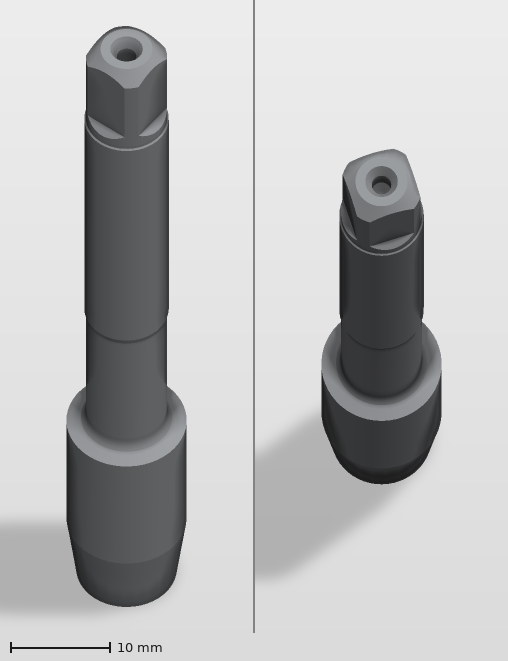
import cadquery as cq
import math

TOTAL_LENGTH = 82.0
LEAD_TOP = 8.0
CUTTER_TOP = 23.1
RIM_TOP = 23.4
CONE_TOP = 23.95
NECK_BOTTOM = 25.1
NECK_TOP = 40.4
SHANK_BOTTOM = 41.1
SHANK_TOP = 71.2

CUTTER_DIAMETER = 12.1
TIP_DIAMETER = 10.2
CONE_TOP_DIAMETER = 9.2
NECK_DIAMETER = 8.2
SHANK_DIAMETER = 8.5
DRIVE_DIAMETER = 8.2
END_FACE_DIAMETER = 5.25

SHANK_CHAMFER_HEIGHT = 0.2
END_CHAMFER_HEIGHT = 1.3

SQUARE_WIDTH = 6.7
FLAT_BOTTOM = 73.0

CENTER_DIAMETER = 2.0
CENTER_MOUTH_DIAMETER = 3.3
CENTER_DEPTH = 3.3
COUNTERSINK_ANGLE = 60.0
DRILL_POINT_ANGLE = 118.0


def revolve_profile(profile):
    """Turn a closed (radius, height) profile around the Z axis."""
    return profile.close().revolve(360, (0, 0, 0), (0, 1, 0))


def make_cutting_head():
    profile = (
        cq.Workplane("XZ")
        .lineTo(TIP_DIAMETER / 2, 0)
        .lineTo(CUTTER_DIAMETER / 2, LEAD_TOP)
        .lineTo(CUTTER_DIAMETER / 2, CUTTER_TOP)
        .lineTo(0, CUTTER_TOP)
    )
    return revolve_profile(profile)


def make_turned_shank():
    rim_radius = CUTTER_DIAMETER / 2
    neck_radius = NECK_DIAMETER / 2
    shank_radius = SHANK_DIAMETER / 2
    drive_radius = DRIVE_DIAMETER / 2
    profile = (
        cq.Workplane("XZ")
        .moveTo(0, TOTAL_LENGTH)
        .lineTo(END_FACE_DIAMETER / 2, TOTAL_LENGTH)
        .lineTo(drive_radius, TOTAL_LENGTH - END_CHAMFER_HEIGHT)
        .lineTo(drive_radius, SHANK_TOP)
        .lineTo(shank_radius, SHANK_TOP - SHANK_CHAMFER_HEIGHT)
        .lineTo(shank_radius, SHANK_BOTTOM)
        .lineTo(neck_radius, NECK_TOP)
        .lineTo(neck_radius, NECK_BOTTOM)
        .tangentArcPoint((CONE_TOP_DIAMETER / 2, CONE_TOP), relative=False)
        .lineTo(rim_radius, RIM_TOP)
        .lineTo(rim_radius, CUTTER_TOP)
        .lineTo(0, CUTTER_TOP)
    )
    return revolve_profile(profile)


def make_flat_cutter():
    """Tool that removes the material outside one flat and its ramp, on the +X side."""
    flat_distance = SQUARE_WIDTH / 2
    outer_distance = DRIVE_DIAMETER
    ramp_drop = outer_distance - flat_distance
    return (
        cq.Workplane("XZ")
        .moveTo(flat_distance, FLAT_BOTTOM)
        .lineTo(outer_distance, FLAT_BOTTOM - ramp_drop)
        .lineTo(outer_distance, TOTAL_LENGTH)
        .lineTo(flat_distance, TOTAL_LENGTH)
        .close()
        .extrude(DRIVE_DIAMETER, both=True)
    )


def make_center_hole():
    """Countersunk blind hole with a conical bottom."""
    hole_radius = CENTER_DIAMETER / 2
    mouth_radius = CENTER_MOUTH_DIAMETER / 2
    countersink_depth = (mouth_radius - hole_radius) / math.tan(math.radians(COUNTERSINK_ANGLE / 2))
    point_depth = hole_radius / math.tan(math.radians(DRILL_POINT_ANGLE / 2))
    hole_bottom = TOTAL_LENGTH - CENTER_DEPTH
    profile = (
        cq.Workplane("XZ")
        .moveTo(0, TOTAL_LENGTH)
        .lineTo(mouth_radius, TOTAL_LENGTH)
        .lineTo(hole_radius, TOTAL_LENGTH - countersink_depth)
        .lineTo(hole_radius, hole_bottom)
        .lineTo(0, hole_bottom - point_depth)
    )
    return revolve_profile(profile)


def make_shank():
    body = make_turned_shank()
    flat_cutter = make_flat_cutter()
    for side in range(4):
        body = body.cut(flat_cutter.rotate((0, 0, 0), (0, 0, 1), 90 * side))
    return body.cut(make_center_hole())


cutting_head = make_cutting_head()
shank = make_shank()

result = cq.Compound.makeCompound([cutting_head.val(), shank.val()])